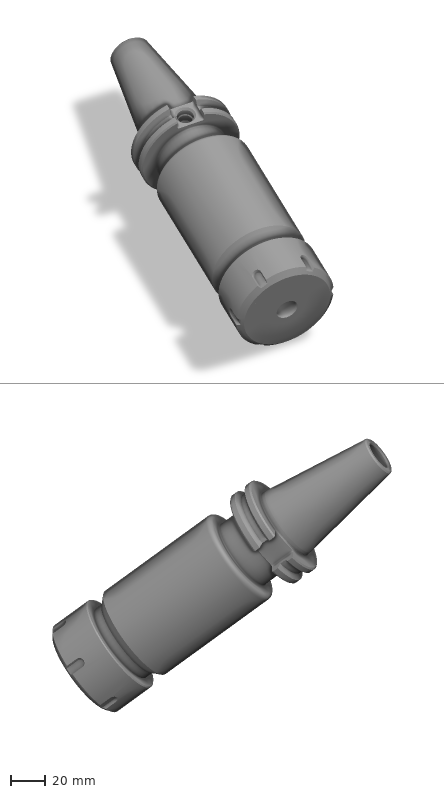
import cadquery as cq
import math

TOTAL_LENGTH = 223.7

TAPER_LENGTH = 68.2
GAUGE_DIA = 44.5
TAPER_RATIO = 7 / 24
TAPER_END_CHAMFER = 1.0
SHANK_FILLET = 1.0

FLANGE_START = 71.5
FLANGE_WIDTH = 15.9
FLANGE_DIA = 63.5
FLANGE_CHAMFER = 1.0
GROOVE_DEPTH = 3.4
GROOVE_FLOOR_WIDTH = 3.5
GROOVE_HALF_ANGLE = 30.0

DRIVE_SLOT_WIDTH = 17.0
DRIVE_SLOT_FILLET = 1.0
TOP_SLOT_FLOOR = 24.8
BOTTOM_SLOT_FLOOR = 22.5

SLOT_HOLE_DIA = 8.0
SLOT_HOLE_DEPTH = 9.0
SLOT_HOLE_STEP_DIA = 10.0
SLOT_HOLE_STEP_DEPTH = 3.4
SLOT_HOLE_MOUTH_DIA = 12.5
DRILL_POINT_ANGLE = 118.0

NECK_DIA = 43.8
NECK_FILLET = 1.0
BARREL_START = 103.1
BARREL_DIA = 60.5
BARREL_FILLET = 3.0
BARREL_REAR_EDGE = 183.7
NOSE_START = 189.0
NOSE_DIA = 50.0

BORE_DIA = 13.5
THREAD_DIA = 16.5
THREAD_DEPTH = 5.5
THREAD_CHAMFER = 1.0

NUT_START = 194.6
NUT_DIA = 62.6
NUT_BACK_CHAMFER = 0.7
NUT_FRONT_CHAMFER_LENGTH = 3.0
NUT_FRONT_CHAMFER_DEPTH = 3.5
NUT_SLOT_COUNT = 6
NUT_TURN = 1.2
NUT_SLOT_FLOOR_WIDTH = 4.5
NUT_SLOT_DEPTH = 2.0
NUT_SLOT_FLARE = 24.0
NUT_SLOT_FLOOR_LENGTH = 12.3

FLANGE_END = FLANGE_START + FLANGE_WIDTH
FLANGE_MIDDLE = FLANGE_START + FLANGE_WIDTH / 2
CUT_CLEARANCE = 2.2
ARC_INSET = 1 - math.sqrt(0.5)


def revolve_about_x(profile):
    """Turn an (x, radius) profile once around the X axis."""
    return profile.close().revolve(360, (0, 0, 0), (1, 0, 0))


def make_shank():
    """Taper and a short cylindrical band, filleted into the face of the flange."""
    gauge_radius = GAUGE_DIA / 2
    chamfer_radius = gauge_radius - (TAPER_LENGTH - TAPER_END_CHAMFER) * TAPER_RATIO / 2
    fillet_inset = SHANK_FILLET * ARC_INSET
    profile = (
        cq.Workplane("XY")
        .lineTo(0, chamfer_radius - TAPER_END_CHAMFER)
        .lineTo(TAPER_END_CHAMFER, chamfer_radius)
        .lineTo(TAPER_LENGTH, gauge_radius)
        .lineTo(FLANGE_START - SHANK_FILLET, gauge_radius)
        .threePointArc(
            (FLANGE_START - fillet_inset, gauge_radius + fillet_inset),
            (FLANGE_START, gauge_radius + SHANK_FILLET),
        )
        .lineTo(FLANGE_START, 0)
    )
    return revolve_about_x(profile)


def make_flange():
    """Chamfered disc with a V-groove around the middle of its rim."""
    radius = FLANGE_DIA / 2
    groove_radius = radius - GROOVE_DEPTH
    half_floor = GROOVE_FLOOR_WIDTH / 2
    half_mouth = half_floor + GROOVE_DEPTH * math.tan(math.radians(GROOVE_HALF_ANGLE))
    profile = (
        cq.Workplane("XY")
        .moveTo(FLANGE_START, 0)
        .lineTo(FLANGE_START, radius - FLANGE_CHAMFER)
        .lineTo(FLANGE_START + FLANGE_CHAMFER, radius)
        .lineTo(FLANGE_MIDDLE - half_mouth, radius)
        .lineTo(FLANGE_MIDDLE - half_floor, groove_radius)
        .lineTo(FLANGE_MIDDLE + half_floor, groove_radius)
        .lineTo(FLANGE_MIDDLE + half_mouth, radius)
        .lineTo(FLANGE_END - FLANGE_CHAMFER, radius)
        .lineTo(FLANGE_END, radius - FLANGE_CHAMFER)
        .lineTo(FLANGE_END, 0)
    )
    return revolve_about_x(profile)


def make_barrel():
    """Neck with a fillet at each end, round-shouldered barrel, and the nose that carries the nut."""
    neck_radius = NECK_DIA / 2
    barrel_radius = BARREL_DIA / 2
    nose_radius = NOSE_DIA / 2
    neck_inset = NECK_FILLET * ARC_INSET
    shoulder_inset = BARREL_FILLET * ARC_INSET
    profile = (
        cq.Workplane("XY")
        .moveTo(FLANGE_END, 0)
        .lineTo(FLANGE_END, neck_radius + NECK_FILLET)
        .threePointArc(
            (FLANGE_END + neck_inset, neck_radius + neck_inset),
            (FLANGE_END + NECK_FILLET, neck_radius),
        )
        .lineTo(BARREL_START - NECK_FILLET, neck_radius)
        .threePointArc(
            (BARREL_START - neck_inset, neck_radius + neck_inset),
            (BARREL_START, neck_radius + NECK_FILLET),
        )
        .lineTo(BARREL_START, barrel_radius - BARREL_FILLET)
        .threePointArc(
            (BARREL_START + shoulder_inset, barrel_radius - shoulder_inset),
            (BARREL_START + BARREL_FILLET, barrel_radius),
        )
        .lineTo(BARREL_REAR_EDGE, barrel_radius)
        .lineTo(NOSE_START, nose_radius)
        .lineTo(TOTAL_LENGTH, nose_radius)
        .lineTo(TOTAL_LENGTH, 0)
    )
    return revolve_about_x(profile)


def make_bore():
    """Through bore with a wider threaded stretch behind the small end of the taper."""
    bore_radius = BORE_DIA / 2
    thread_radius = THREAD_DIA / 2
    cone_end = THREAD_DEPTH + thread_radius - bore_radius
    profile = (
        cq.Workplane("XY")
        .lineTo(0, thread_radius + THREAD_CHAMFER)
        .lineTo(THREAD_CHAMFER, thread_radius)
        .lineTo(THREAD_DEPTH, thread_radius)
        .lineTo(cone_end, bore_radius)
        .lineTo(TOTAL_LENGTH, bore_radius)
        .lineTo(TOTAL_LENGTH, 0)
    )
    return revolve_about_x(profile)


def make_drive_slot(floor, side):
    """Cutter for one drive slot; side is +1 above the axis and -1 below it."""
    height = FLANGE_DIA / 2 + CUT_CLEARANCE - floor
    middle = side * (floor + height / 2)
    slot = cq.Workplane("XY").box(FLANGE_WIDTH, DRIVE_SLOT_WIDTH, height)
    floor_side = "<Z" if side > 0 else ">Z"
    slot = slot.faces(floor_side).edges("|X").fillet(DRIVE_SLOT_FILLET)
    return slot.translate((FLANGE_MIDDLE, 0, middle))


def make_slot_hole():
    """Drilled hole with a countersunk, stepped mouth, sunk into the upper slot floor."""
    hole_radius = SLOT_HOLE_DIA / 2
    step_radius = SLOT_HOLE_STEP_DIA / 2
    mouth_radius = SLOT_HOLE_MOUTH_DIA / 2
    step_top = TOP_SLOT_FLOOR - (mouth_radius - step_radius)
    step_floor = step_top - SLOT_HOLE_STEP_DEPTH
    hole_floor = TOP_SLOT_FLOOR - SLOT_HOLE_DEPTH
    point_height = hole_radius / math.tan(math.radians(DRILL_POINT_ANGLE / 2))
    hole = (
        cq.Workplane("XZ")
        .moveTo(0, TOP_SLOT_FLOOR)
        .lineTo(mouth_radius, TOP_SLOT_FLOOR)
        .lineTo(step_radius, step_top)
        .lineTo(step_radius, step_floor)
        .lineTo(hole_radius, step_floor)
        .lineTo(hole_radius, hole_floor)
        .lineTo(0, hole_floor - point_height)
        .close()
        .revolve(360, (0, 0, 0), (0, 1, 0))
    )
    return hole.translate((FLANGE_MIDDLE, 0, 0))


def make_holder():
    """Tool holder: shank, flange and barrel in one piece, with its slots, hole and bore."""
    body = make_shank().union(make_flange()).union(make_barrel())
    body = body.cut(make_drive_slot(TOP_SLOT_FLOOR, 1))
    body = body.cut(make_drive_slot(BOTTOM_SLOT_FLOOR, -1))
    return body.cut(make_slot_hole()).cut(make_bore())


def make_nut_slot():
    """Cutter for a flat-floored, round-ended slot on the +Z side, open at the end face and flared outwards."""
    half_width = NUT_SLOT_FLOOR_WIDTH / 2
    start = TOTAL_LENGTH - NUT_SLOT_FLOOR_LENGTH
    end = TOTAL_LENGTH + CUT_CLEARANCE
    return (
        cq.Workplane("XY", origin=(0, 0, NUT_DIA / 2 - NUT_SLOT_DEPTH))
        .moveTo(end, half_width)
        .lineTo(start + half_width, half_width)
        .threePointArc((start, 0), (start + half_width, -half_width))
        .lineTo(end, -half_width)
        .close()
        .extrude(NUT_SLOT_DEPTH + CUT_CLEARANCE, taper=-NUT_SLOT_FLARE)
    )


def make_nut():
    """Ring around the nose, flush with its end, with wrench slots spaced evenly around the rim."""
    radius = NUT_DIA / 2
    inner_radius = NOSE_DIA / 2
    profile = (
        cq.Workplane("XY")
        .moveTo(NUT_START, inner_radius)
        .lineTo(NUT_START, radius - NUT_BACK_CHAMFER)
        .lineTo(NUT_START + NUT_BACK_CHAMFER, radius)
        .lineTo(TOTAL_LENGTH - NUT_FRONT_CHAMFER_LENGTH, radius)
        .lineTo(TOTAL_LENGTH, radius - NUT_FRONT_CHAMFER_DEPTH)
        .lineTo(TOTAL_LENGTH, inner_radius)
    )
    ring = revolve_about_x(profile)
    slot = make_nut_slot()
    for index in range(NUT_SLOT_COUNT):
        angle = 90 - NUT_TURN + index * 360 / NUT_SLOT_COUNT
        ring = ring.cut(slot.rotate((0, 0, 0), (1, 0, 0), angle))
    return ring


holder = make_holder()
nut = make_nut()
result = cq.Compound.makeCompound([holder.val(), nut.val()])